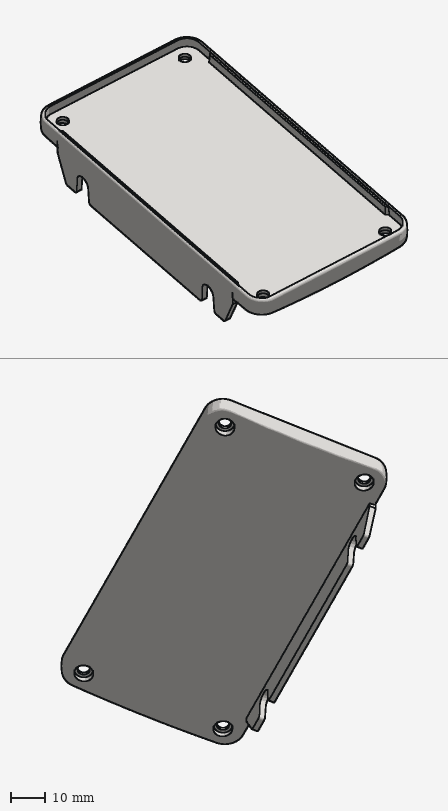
import cadquery as cq
import math

length = 108.0
width = 58.6
corner_radius = 5.9
wall_draft = 3.0

rim_height = 3.1
rim_fillet = 0.9
wall = 1.4
cavity_draft = -1.0

crown_depth = 4.4
crown_radius = 283.0
end_rise_length = 13.0
end_rise = 0.5
edge_fillet = 0.8

rib_length = 84.5
rib_thickness = 0.9
rib_drop = 0.2
rib_wall_overlap = 0.5
rib_draft = 4.0

hole_spacing_x = 96.1
hole_spacing_y = 45.3
hole_diameter = 3.7
counterbore_diameter = 5.6
hole_land = 1.2

tab_depth = 14.4
tab_top_length = 84.0
tab_bottom_length = 76.0
tab_shoulder_depth = 4.5
tab_thickness = 2.0
tab_strip_depth = 1.6
tab_draft = 1.0
tab_corner_fillet = 1.0

slot_spacing = 60.0
slot_top_depth = 5.8
slot_radius = 2.6
slot_mouth = 5.9


def rounded_block(size_x, size_y, radius, height, draft):
    """Rounded rectangle drawn on the parting plane; a negative height hangs below it."""
    outline = cq.Sketch().rect(size_x, size_y).vertices().fillet(radius)
    return cq.Workplane("XY").placeSketch(outline).extrude(height, taper=draft)


def upper_body():
    block = rounded_block(length, width, corner_radius, rim_height, wall_draft)
    return block.faces(">Z").edges().fillet(rim_fillet)


def crown_barrel():
    """Barrel with its axis along X: an arc across Y, narrowed along an arc near each X end."""
    half_length = length / 2
    flat_end = half_length - end_rise_length
    end_z = end_rise - crown_depth
    bend_radius = (end_rise_length**2 + end_rise**2) / (2 * end_rise)
    axis_z = crown_radius - crown_depth
    return (
        cq.Workplane("XZ")
        .moveTo(-half_length, axis_z)
        .lineTo(-half_length, end_z)
        .radiusArc((-flat_end, -crown_depth), -bend_radius)
        .lineTo(flat_end, -crown_depth)
        .radiusArc((half_length, end_z), -bend_radius)
        .lineTo(half_length, axis_z)
        .close()
        .revolve(360, (0, axis_z, 0), (1, axis_z, 0))
    )


def lower_body():
    block = rounded_block(length, width, corner_radius, -crown_depth, wall_draft)
    crowned = block.intersect(crown_barrel())
    crown_outline = crowned.faces("%TORUS or %CYLINDER").edges("not %CIRCLE")
    return crown_outline.fillet(edge_fillet)


def cavity():
    size_x = length - 2 * wall
    size_y = width - 2 * wall
    return rounded_block(size_x, size_y, corner_radius - wall, rim_height, cavity_draft)


def rib():
    """Rib on the inside of the +Y wall, reaching into the wall behind it."""
    wall_face = width / 2 - wall
    rib_face = wall_face - rib_thickness
    half_top = rib_length / 2
    half_foot = half_top + rib_thickness
    return (
        cq.Workplane("XY")
        .moveTo(-half_top, rib_face)
        .lineTo(half_top, rib_face)
        .lineTo(half_foot, wall_face)
        .lineTo(half_foot, wall_face + rib_wall_overlap)
        .lineTo(-half_foot, wall_face + rib_wall_overlap)
        .lineTo(-half_foot, wall_face)
        .close()
        .extrude(rim_height - rib_drop, taper=rib_draft)
    )


def corner_cylinders(diameter, top_z):
    """Four cylinders on the hole centers, reaching down past the underside from top_z."""
    return (
        cq.Workplane("XY", origin=(0, 0, top_z))
        .rect(hole_spacing_x, hole_spacing_y, forConstruction=True)
        .vertices()
        .circle(diameter / 2)
        .extrude(-2 * crown_depth)
    )


def slot_cutter(center_x):
    """Slot that widens from its round top to its mouth at the tab's bottom edge."""
    center_z = -slot_top_depth - slot_radius
    return (
        cq.Workplane("XZ")
        .moveTo(center_x - slot_mouth / 2, -tab_depth)
        .lineTo(center_x - slot_radius, center_z)
        .threePointArc((center_x, -slot_top_depth), (center_x + slot_radius, center_z))
        .lineTo(center_x + slot_mouth / 2, -tab_depth)
        .close()
        .extrude(width)
    )


def tab_side_profile():
    """Tab cross-section run along X: upright strip at the top, drafted outer face below it."""
    front_y = -width / 2
    set_back = (tab_depth - tab_strip_depth) * math.tan(math.radians(tab_draft))
    back_y = front_y + tab_thickness
    return (
        cq.Workplane("YZ")
        .moveTo(back_y, 0)
        .lineTo(front_y, 0)
        .lineTo(front_y, -tab_strip_depth)
        .lineTo(front_y + set_back, -tab_depth)
        .lineTo(back_y, -tab_depth)
        .close()
        .extrude(tab_top_length / 2, both=True)
    )


def tab():
    """Trapezoidal plate with two slots and rounded lower corners."""
    half_top = tab_top_length / 2
    half_bottom = tab_bottom_length / 2
    plate = (
        cq.Workplane("XZ")
        .moveTo(-half_top, 0)
        .lineTo(half_top, 0)
        .lineTo(half_top, -tab_shoulder_depth)
        .lineTo(half_bottom, -tab_depth)
        .lineTo(-half_bottom, -tab_depth)
        .lineTo(-half_top, -tab_shoulder_depth)
        .close()
        .extrude(width)
    )
    for side in (-1, 1):
        plate = plate.cut(slot_cutter(side * slot_spacing / 2))
    lower_corners = plate.faces("<Z").edges("|Y")
    return lower_corners.fillet(tab_corner_fillet).intersect(tab_side_profile())


back_rib = rib()
front_rib = back_rib.mirror("XZ")
tray = upper_body().union(lower_body()).cut(cavity())
tray = tray.union(back_rib).union(front_rib).union(tab())
through_holes = corner_cylinders(hole_diameter, 0)
counterbores = corner_cylinders(counterbore_diameter, -hole_land)
result = tray.cut(through_holes).cut(counterbores)